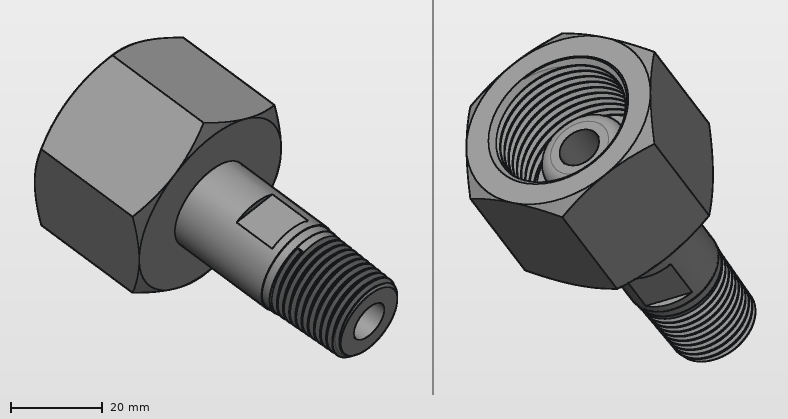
import cadquery as cq
import math

INCH = 25.4

nut_across_flats = 1.75 * INCH
nut_length = 1.25 * INCH
hex_chamfer_angle = 30
nut_floor_thickness = 0.25 * INCH
nut_floor_x = nut_length - nut_floor_thickness
nut_thread_pitch = INCH / 12
nut_minor_radius = 15.4
nut_thread_depth = 1.35
nut_groove_start_x = -1.4 * nut_thread_pitch
countersink_radius = 16.9
countersink_depth = 1.1

overall_length = 80.01
bore_radius = 0.375 * INCH / 2
stem_radius = 11.05
stem_end_x = 58.0
collar_radius = 10.8
collar_end_x = 60.2
nose_x = 10.6
nose_radius = 10.2
nose_round = 3.2
flange_radius = 14.28
flange_thickness = 0.25 * INCH
flange_front_x = nut_floor_x - flange_thickness

flats_spacing = 0.75 * INCH
flats_start_x = 45.2
flats_end_x = 56.0

pipe_pitch = INCH / 14
pipe_taper = 1 / 32
pipe_thread_depth = 1.1
pipe_end_radius = 10.05
pipe_chamfer = 1.2
pipe_groove_start_x = overall_length + 0.55 * pipe_pitch

thread_half_angle = 30
root_flat = 0.15
groove_overcut = 0.1


def revolve_about_x(points):
    return cq.Workplane("XY").polyline(points).close().revolve(360, (0, 0, 0), (1, 0, 0))


def thread_groove(pitch, length, mouth_radius, root_radius, taper_angle=360):
    """Right-handed groove cutter about +Z from Z = 0; a taper angle of 360 leaves it cylindrical."""
    half_root = root_flat / 2
    half_mouth = half_root + abs(root_radius - mouth_radius) * math.tan(math.radians(thread_half_angle))
    helix = cq.Wire.makeHelix(pitch, length, mouth_radius, angle=taper_angle)
    section = (
        cq.Workplane("XZ")
        .moveTo(mouth_radius, -half_mouth)
        .lineTo(root_radius, -half_root)
        .lineTo(root_radius, half_root)
        .lineTo(mouth_radius, half_mouth)
        .close()
    )
    return section.sweep(cq.Workplane(helix), isFrenet=True)


def make_nut():
    flat_radius = nut_across_flats / 2
    corner_radius = flat_radius / math.cos(math.pi / 6)
    chamfer_length = (corner_radius - flat_radius) * math.tan(math.radians(hex_chamfer_angle))
    countersink_apex_x = countersink_radius * countersink_depth / (countersink_radius - nut_minor_radius)
    stock_start_x = nut_groove_start_x - nut_thread_pitch

    stock = (
        cq.Workplane("YZ", origin=(stock_start_x, 0, 0))
        .transformed(rotate=(0, 0, 30))
        .polygon(6, 2 * corner_radius)
        .circle(stem_radius)
        .extrude(nut_length - stock_start_x)
    )
    thread_bore = (
        cq.Workplane("YZ", origin=(stock_start_x, 0, 0))
        .circle(nut_minor_radius)
        .extrude(nut_floor_x - stock_start_x)
    )
    nut = stock.cut(thread_bore).cut(nut_thread_groove())

    finished_envelope = revolve_about_x([
        (countersink_apex_x, 0),
        (0, countersink_radius),
        (0, flat_radius),
        (chamfer_length, corner_radius),
        (nut_length - chamfer_length, corner_radius),
        (nut_length, flat_radius),
        (nut_length, 0),
    ])
    return nut.intersect(finished_envelope)


def nut_thread_groove():
    groove = thread_groove(
        nut_thread_pitch,
        nut_floor_x - nut_thread_pitch - nut_groove_start_x,
        nut_minor_radius - groove_overcut,
        nut_minor_radius + nut_thread_depth,
    )
    return groove.rotate((0, 0, 0), (0, 1, 0), 90).translate((nut_groove_start_x, 0, 0))


def make_nipple():
    stock_end_x = pipe_groove_start_x + pipe_pitch
    blank = (
        cq.Workplane("XY")
        .moveTo(nose_x, bore_radius)
        .lineTo(nose_x, nose_radius - nose_round)
        .radiusArc((nose_x + nose_round, nose_radius), nose_round)
        .lineTo(flange_front_x, nose_radius)
        .lineTo(flange_front_x, flange_radius)
        .lineTo(nut_floor_x, flange_radius)
        .lineTo(nut_floor_x, stem_radius)
        .lineTo(stem_end_x, stem_radius)
        .lineTo(stem_end_x, collar_radius)
        .lineTo(collar_end_x, collar_radius)
        .lineTo(collar_end_x, pipe_crest_radius(collar_end_x))
        .lineTo(stock_end_x, pipe_crest_radius(stock_end_x))
        .lineTo(stock_end_x, bore_radius)
        .close()
        .revolve(360, (0, 0, 0), (1, 0, 0))
    )
    nipple = blank.cut(wrench_flats()).cut(pipe_thread_groove())

    chamfer_run = flange_radius - (pipe_end_radius - pipe_chamfer)
    finished_envelope = revolve_about_x([
        (0, 0),
        (0, flange_radius),
        (overall_length - chamfer_run, flange_radius),
        (overall_length, flange_radius - chamfer_run),
        (overall_length, 0),
    ])
    return nipple.intersect(finished_envelope)


def pipe_crest_radius(x):
    return pipe_end_radius + (overall_length - x) * pipe_taper


def wrench_flats():
    """Cutters above and below the stem that leave the two parallel flats."""
    cut_height = stem_radius
    centre_x = (flats_start_x + flats_end_x) / 2
    centre_z = (flats_spacing + cut_height) / 2
    cutters = cq.Workplane("XY")
    for side in (1, -1):
        cutter = cq.Workplane("XY").box(flats_end_x - flats_start_x, 2 * stem_radius, cut_height)
        cutters = cutters.add(cutter.translate((centre_x, 0, side * centre_z)))
    return cutters.combine()


def pipe_thread_groove():
    mouth_radius = pipe_crest_radius(pipe_groove_start_x)
    groove = thread_groove(
        pipe_pitch,
        pipe_groove_start_x - collar_end_x - pipe_pitch / 2,
        mouth_radius + groove_overcut,
        mouth_radius - pipe_thread_depth,
        math.degrees(math.atan(pipe_taper)),
    )
    return groove.rotate((0, 0, 0), (0, 1, 0), -90).translate((pipe_groove_start_x, 0, 0))


nut = make_nut()
nipple = make_nipple()
result = cq.Compound.makeCompound([nut.solids().val(), nipple.solids().val()])